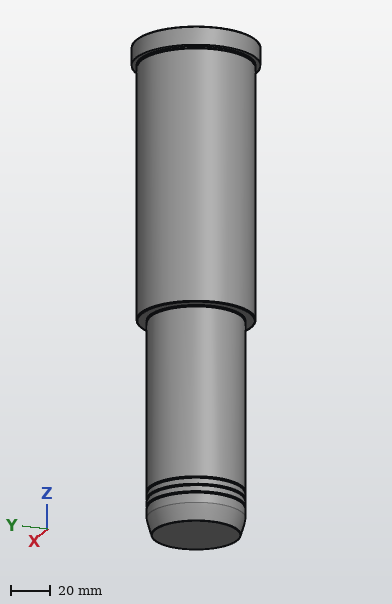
import cadquery as cq

total_length = 260.0
head_thickness = 10.0
body_bottom = 114.1
nose_length = 9.0

head_diameter = 65.0
body_diameter = 60.0
stem_diameter = 50.0
tip_diameter = 45.0

head_chamfer = 0.5
body_chamfer = 0.5
tip_chamfer = 0.3

nose_bulge = 0.3

undercut_width = 1.3
ring_width = 1.0
ring_count = 3
ring_pitch = 4 * ring_width
lowest_ring_bottom = 14.0

head_radius = head_diameter / 2
body_radius = body_diameter / 2
stem_radius = stem_diameter / 2
tip_radius = tip_diameter / 2
head_bottom = total_length - head_thickness


def make_pin():
    """Revolve the stepped outline, with its curved nose, around Z."""
    nose_middle_radius = (stem_radius + tip_radius) / 2 + nose_bulge
    nose_middle_height = (nose_length + tip_chamfer) / 2
    outline = (
        cq.Workplane("XZ")
        .lineTo(tip_radius - tip_chamfer, 0)
        .lineTo(tip_radius, tip_chamfer)
        .threePointArc((nose_middle_radius, nose_middle_height), (stem_radius, nose_length))
        .lineTo(stem_radius, body_bottom)
        .lineTo(body_radius - body_chamfer, body_bottom)
        .lineTo(body_radius, body_bottom + body_chamfer)
        .lineTo(body_radius, head_bottom)
        .lineTo(head_radius, head_bottom)
        .lineTo(head_radius, total_length - head_chamfer)
        .lineTo(head_radius - head_chamfer, total_length)
        .lineTo(0, total_length)
        .close()
    )
    return outline.revolve(360, (0, 0, 0), (0, 1, 0))


def make_v_groove(outer_radius, bottom, width):
    """Ring of material that leaves a V groove in a cylinder of the given radius."""
    depth = width / 2
    return (
        cq.Workplane("XZ")
        .moveTo(outer_radius, bottom)
        .lineTo(outer_radius - depth, bottom + width / 2)
        .lineTo(outer_radius, bottom + width)
        .close()
        .revolve(360, (0, 0, 0), (0, 1, 0))
    )


result = make_pin()

result = result.cut(make_v_groove(body_radius, head_bottom - undercut_width, undercut_width))
result = result.cut(make_v_groove(stem_radius, body_bottom - ring_width, ring_width))

for index in range(ring_count):
    ring_bottom = lowest_ring_bottom + index * ring_pitch
    result = result.cut(make_v_groove(stem_radius, ring_bottom, ring_width))